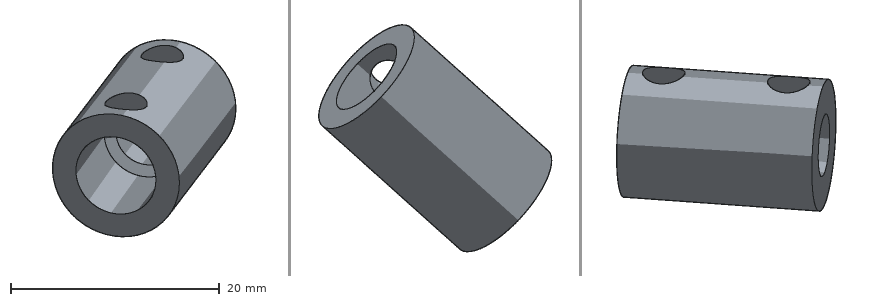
import cadquery as cq
import math

length = 19.05
outer_diameter = 12.7
large_bore_diameter = 8.0
small_bore_diameter = 6.0
drill_point_angle = 118.0
screw_hole_diameter = 4.05
screw_hole_inset = 3.43

large_radius = large_bore_diameter / 2
small_radius = small_bore_diameter / 2
half_length = length / 2
cone_length = (large_radius - small_radius) / math.tan(math.radians(drill_point_angle / 2))


def make_sleeve():
    """Revolve the wall section about Y; the large bore runs from the -Y end to mid-length."""
    outer_radius = outer_diameter / 2
    return (
        cq.Workplane("XY")
        .moveTo(large_radius, -half_length)
        .lineTo(outer_radius, -half_length)
        .lineTo(outer_radius, half_length)
        .lineTo(small_radius, half_length)
        .lineTo(small_radius, cone_length)
        .lineTo(large_radius, 0)
        .close()
        .revolve(360, (0, 0, 0), (0, 1, 0))
    )


def make_screw_holes():
    """Vertical cylinders from the axis out through the top wall."""
    hole_offset = half_length - screw_hole_inset
    return (
        cq.Workplane("XY")
        .pushPoints([(0, -hole_offset), (0, hole_offset)])
        .circle(screw_hole_diameter / 2)
        .extrude(outer_diameter / 2)
    )


result = make_sleeve().cut(make_screw_holes())